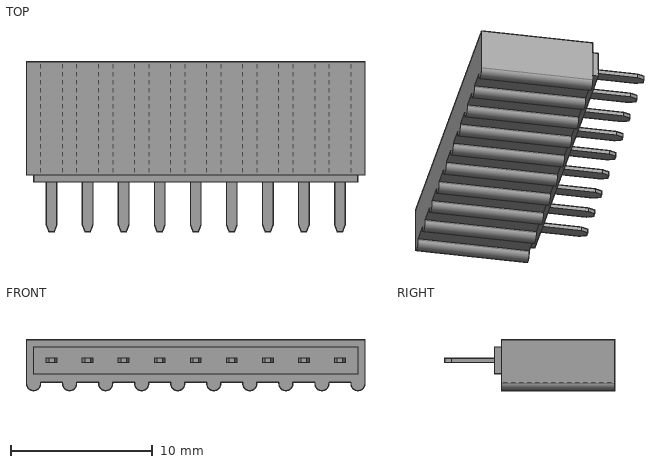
import cadquery as cq

LENGTH = 23.85
BODY_DEPTH = 8.0
BODY_HEIGHT = 3.0
RIB_WIDTH = 1.0
RIB_HEIGHT = 0.6
PLATE_INSET = 0.5
PLATE_HEIGHT = 1.9
PLATE_THICKNESS = 0.5
PIN_COUNT = 9
PIN_WIDTH = 0.76
PIN_THICKNESS = 0.3
PIN_LENGTH = 3.5
PIN_TIP_LENGTH = 0.5
PIN_TIP_WIDTH = PIN_WIDTH / 2

rib_count = PIN_COUNT + 1
pitch = (LENGTH - RIB_WIDTH) / PIN_COUNT

plate_front = -PLATE_THICKNESS
plate_center_z = BODY_HEIGHT - PLATE_INSET - PLATE_HEIGHT / 2


def centered_positions(count):
    """X positions of a row of features spaced by the pitch and centered on X = 0."""
    return [(i - (count - 1) / 2) * pitch for i in range(count)]


def make_body():
    return cq.Workplane("XY").box(LENGTH, BODY_DEPTH, BODY_HEIGHT, centered=(True, False, False))


def make_rib(x):
    """Rounded standoff rib running the full depth of the body's underside."""
    radius = RIB_WIDTH / 2
    round_start_z = radius - RIB_HEIGHT
    root_z = BODY_HEIGHT / 2
    return (
        cq.Workplane("XZ")
        .moveTo(x - radius, root_z)
        .lineTo(x - radius, round_start_z)
        .threePointArc((x, -RIB_HEIGHT), (x + radius, round_start_z))
        .lineTo(x + radius, root_z)
        .close()
        .extrude(-BODY_DEPTH)
    )


def make_plate():
    """Raised rectangular plate on the front face."""
    return (
        cq.Workplane("XZ")
        .center(0, plate_center_z)
        .rect(LENGTH - 2 * PLATE_INSET, PLATE_HEIGHT)
        .extrude(PLATE_THICKNESS)
    )


def make_pin(x):
    """Flat pin that narrows sideways at its tip."""
    half_width = PIN_WIDTH / 2
    half_tip = PIN_TIP_WIDTH / 2
    tip_y = plate_front - PIN_LENGTH
    taper_y = tip_y + PIN_TIP_LENGTH
    outline = [
        (x - half_width, 0),
        (x - half_width, taper_y),
        (x - half_tip, tip_y),
        (x + half_tip, tip_y),
        (x + half_width, taper_y),
        (x + half_width, 0),
    ]
    return (
        cq.Workplane("XY", origin=(0, 0, plate_center_z - PIN_THICKNESS / 2))
        .polyline(outline)
        .close()
        .extrude(PIN_THICKNESS)
    )


result = make_body().union(make_plate())
for rib_x in centered_positions(rib_count):
    result = result.union(make_rib(rib_x))
for pin_x in centered_positions(PIN_COUNT):
    result = result.union(make_pin(pin_x))